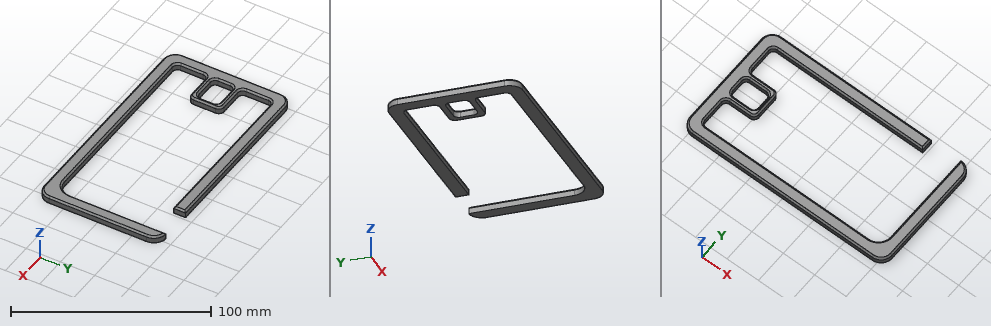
import cadquery as cq

length = 128.6
width = 71.1
thickness = 4.0
opening_length = 114.6
wall = (length - opening_length) / 2
opening_width = width - 2 * wall
outer_radius = wall
top_chamfer = 1.0

large_inner_radius = 8.0
small_inner_radius = 3.0

top_arm_length = 102.8
gap_start = top_arm_length - length / 2
gap_end = length / 2 - wall

loop_reach = 26.1
loop_width = 19.0
loop_outer_radius = 3.1
window_offset = 7.3
window_length = 16.2
window_width = 12.7
window_radius = 2.8


def plate(x_start, x_end, y_start, y_end):
    """Full-thickness rectangular block between the given X and Y limits."""
    return (
        cq.Workplane("XY")
        .box(x_end - x_start, y_end - y_start, thickness, centered=False)
        .translate((x_start, y_start, 0))
    )


def make_open_frame():
    """Rounded rectangular frame with the gap cut through its +Y side."""
    outline = plate(-length / 2, length / 2, -width / 2, width / 2)
    outline = outline.edges("|Z").fillet(outer_radius)

    opening = plate(-opening_length / 2, opening_length / 2, -opening_width / 2, opening_width / 2)
    opening = opening.edges("|Z and <X").fillet(small_inner_radius)
    opening = opening.edges("|Z and >X and <Y").fillet(large_inner_radius)

    gap = plate(gap_start, gap_end, 0, width / 2)
    return outline.cut(opening).cut(gap)


def add_loop(frame):
    """Join the loop to the -X side, round its roots and cut its window."""
    frame_face = -length / 2 + wall
    loop_root = frame_face - wall / 2
    loop = plate(loop_root, -length / 2 + loop_reach, -loop_width / 2, loop_width / 2)
    loop = loop.edges("|Z and >X").fillet(loop_outer_radius)
    body = frame.union(loop)

    for side in (-1, 1):
        root_corner = (frame_face, side * loop_width / 2, thickness / 2)
        body = body.edges(cq.NearestToPointSelector(root_corner)).fillet(small_inner_radius)

    window_start = -length / 2 + window_offset
    window = plate(window_start, window_start + window_length, -window_width / 2, window_width / 2)
    window = window.edges("|Z").fillet(window_radius)
    return body.cut(window)


result = add_loop(make_open_frame()).faces(">Z").chamfer(top_chamfer)